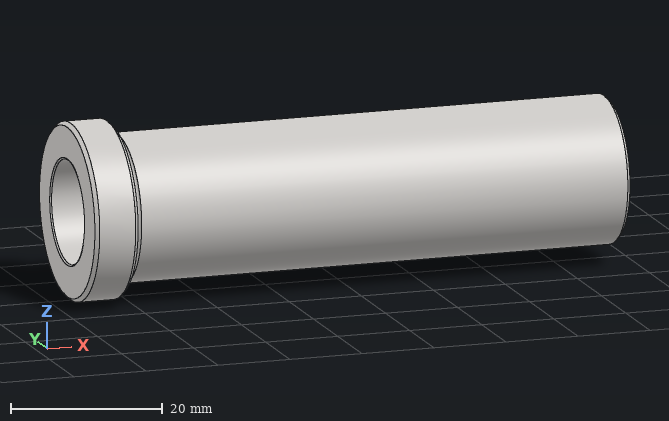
import cadquery as cq

total_length = 75.0
head_diameter = 24.0
head_length = 6.0
head_chamfer = 0.5
body_diameter = 20.0
end_chamfer = 0.5
groove_width = 1.0
bore_diameter = 14.0
bore_chamfer = 0.2

head_radius = head_diameter / 2
body_radius = body_diameter / 2
groove_depth = groove_width / 2

head_face_x = -total_length / 2
end_face_x = total_length / 2
shoulder_x = head_face_x + head_length


def make_blank():
    """Solid of revolution: chamfered head, round relief groove at the shoulder, chamfered body."""
    outline = (
        cq.Workplane("XY")
        .moveTo(head_face_x, 0)
        .lineTo(head_face_x, head_radius - head_chamfer)
        .lineTo(head_face_x + head_chamfer, head_radius)
        .lineTo(shoulder_x - head_chamfer, head_radius)
        .lineTo(shoulder_x, head_radius - head_chamfer)
        .lineTo(shoulder_x, body_radius)
        .threePointArc(
            (shoulder_x + groove_width / 2, body_radius - groove_depth),
            (shoulder_x + groove_width, body_radius),
        )
        .lineTo(end_face_x - end_chamfer, body_radius)
        .lineTo(end_face_x, body_radius - end_chamfer)
        .lineTo(end_face_x, 0)
        .close()
    )
    return outline.revolve(360, (0, 0, 0), (1, 0, 0))


def cut_bore(blank):
    """Through bore with its edge broken at the head face."""
    bored = blank.faces("<X").workplane(origin=(0, 0, 0)).hole(bore_diameter)
    head_mouth = bored.faces("<X").edges(cq.selectors.RadiusNthSelector(0))
    return head_mouth.chamfer(bore_chamfer)


result = cut_bore(make_blank())